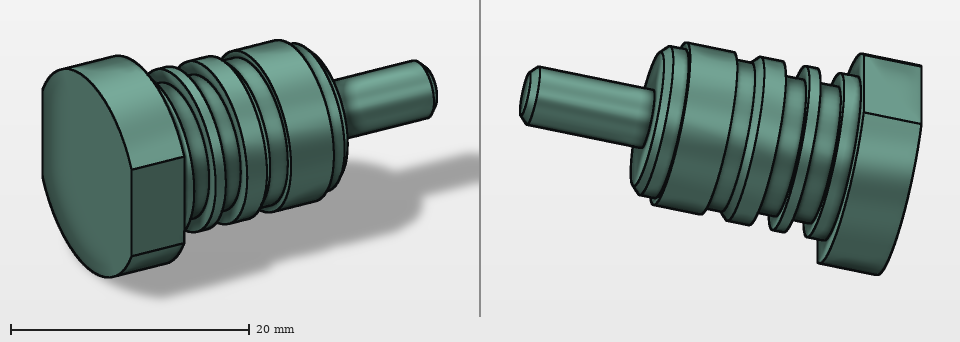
import cadquery as cq

total_length = 32.3
head_diameter = 18.0
head_length = 5.0
head_flat_width = 16.0

flange_radius = 7.05
groove_radius = 5.88
neck_radius = 6.4
sleeve_radius = 6.98
pin_radius = 5.0 / 2

flange_end = 6.45
ring_start = 8.5
ring_end = 9.45
collar_start = 11.5
collar_end = 14.02
sleeve_start = 15.7
sleeve_end = 19.77
body_end = 21.75

edge_chamfer = 0.65
head_face_y = -total_length / 2


def cylinder(radius, start, end):
    """Cylinder along Y between two distances from the head face."""
    plane = cq.Plane(origin=(0, head_face_y + start, 0), xDir=(1, 0, 0), normal=(0, 1, 0))
    return cq.Workplane(plane).circle(radius).extrude(end - start)


def chamfered_cylinder(radius, start, end):
    """Cylinder along Y with its far (+Y) rim chamfered."""
    return cylinder(radius, start, end).faces(">Y").chamfer(edge_chamfer)


def make_head():
    """Round head with two flats facing -X and +X."""
    flats = cq.Workplane("XY").box(head_flat_width, 2 * total_length, head_diameter)
    return cylinder(head_diameter / 2, 0, head_length).intersect(flats)


sections = [
    cylinder(flange_radius, head_length, flange_end),
    cylinder(groove_radius, flange_end, ring_start),
    cylinder(flange_radius, ring_start, ring_end),
    cylinder(groove_radius, ring_end, collar_start),
    chamfered_cylinder(flange_radius, collar_start, collar_end),
    cylinder(neck_radius, collar_end, sleeve_start),
    cylinder(sleeve_radius, sleeve_start, sleeve_end),
    chamfered_cylinder(neck_radius, sleeve_end, body_end),
    chamfered_cylinder(pin_radius, body_end, total_length),
]

result = make_head()
for section in sections:
    result = result.union(section)